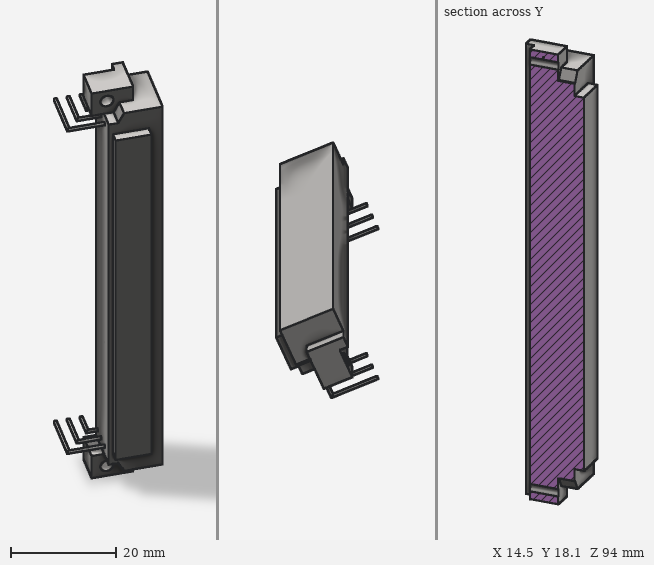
import cadquery as cq

length = 94.0
overall_width = 18.05
body_length = 87.4
body_depth = 11.0
body_width = 10.6

step_depth = 1.7
flange_start = 4.9
flange_end = 7.05
ear_depth = 7.6
ear_end = 13.1
ear_height = 5.45
hole_diameter = 2.5
hole_from_back = 10.1
hole_from_end = 2.4

slope_start = 7.6
slope_end = 8.7

rib_projection = 2.0
rib_start = 2.7
rib_end = 9.8
rib_length = 78.0

pin_diameter = 0.7
pin_pitch = 2.5
pin_rows = 3
pin_column_span = 78.8
pin_tip = -1.5
last_pin_leg = 7.9
last_pin_tail = overall_width - pin_diameter / 2
pin_embed = 0.9


def block(x_range, depth_range, z_range):
    """Box between X limits, distances from the back face (toward -Y) and Z limits."""
    x0, x1 = x_range
    d0, d1 = depth_range
    z0, z1 = z_range
    return cq.Workplane("XY").box(x1 - x0, d1 - d0, z1 - z0, centered=False).translate((x0, -d1, z0))


def make_body():
    half = body_length / 2
    narrow_half = length / 2 - ear_height
    profile = [
        (0, -half),
        (-slope_start, -half),
        (-slope_end, -narrow_half),
        (-body_width, -narrow_half),
        (-body_width, narrow_half),
        (-slope_end, narrow_half),
        (-slope_start, half),
        (0, half),
    ]
    body = cq.Workplane("YZ").polyline(profile).close().extrude(body_depth)
    step = block((0, step_depth), (flange_end, body_width), (-half, half))
    return body.cut(step)


def make_flange():
    return block((0, step_depth), (flange_start, flange_end), (-length / 2, length / 2))


def make_ear(side):
    outer = side * length / 2
    inner = side * (length / 2 - ear_height)
    ear = block((step_depth, ear_depth), (flange_start, ear_end), sorted((inner, outer)))
    hole = (
        cq.Workplane("YZ")
        .center(-hole_from_back, side * (length / 2 - hole_from_end))
        .circle(hole_diameter / 2)
        .extrude(body_depth)
    )
    return ear.cut(hole)


def make_rib():
    return block(
        (body_depth, body_depth + rib_projection),
        (rib_start, rib_end),
        (-rib_length / 2, rib_length / 2),
    )


def make_pin(row, z):
    """Round L-shaped wire with a sharp mitred bend; row 0 is the longest."""
    leg = last_pin_leg - row * pin_pitch
    tail = -(last_pin_tail - row * pin_pitch)
    path = cq.Workplane("XY", origin=(0, 0, z)).polyline(
        [(pin_tip, tail), (leg, tail), (leg, pin_embed - body_width)]
    )
    section = cq.Workplane("YZ", origin=(pin_tip, tail, z)).circle(pin_diameter / 2)
    return section.sweep(path, transition="right")


result = make_body().union(make_flange()).union(make_rib())
for side in (-1, 1):
    result = result.union(make_ear(side))
    for row in range(pin_rows):
        result = result.union(make_pin(row, side * pin_column_span / 2))